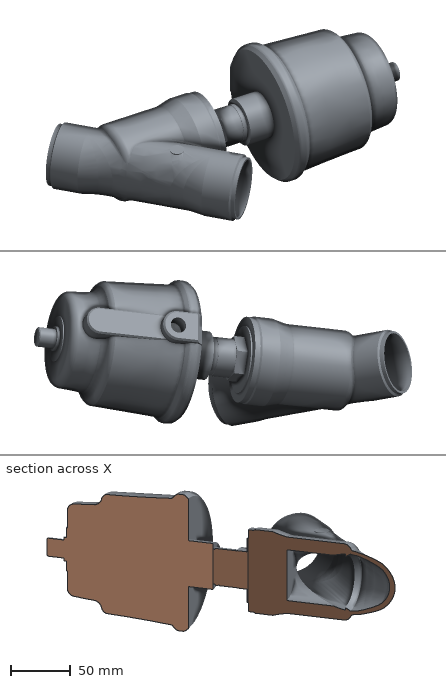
import cadquery as cq
import math


NECK_R = 20.5
NECK_BOTTOM_Y = 123.8
FLANGE_BOTTOM_Y = 146.0
FLANGE_R = 60.5
FLANGE_CHAMFER = 3.2
FLANGE_TOP_Y = 157.2
FLANGE_EDGE_EASE = 0.6
FLANGE_EDGE_RUN = 2.2
FLANGE_EDGE_ARC = (FLANGE_EDGE_RUN**2 + FLANGE_EDGE_EASE**2) / (2 * FLANGE_EDGE_EASE)
SHOULDER_ARC = 2.2
SHOULDER_TOP_Y = 160.2
SHOULDER_TOP_R = 57.3
LOWER_SHELL_Y = 162.4
LOWER_SHELL_BASE_R = 56.0
LOWER_SHELL_TOP_R = 52.7
LOWER_SHELL_TOP_Y = 220.5
UPPER_SHELL_Y = 230.2
UPPER_SHELL_BASE_R = 42.5
UPPER_SHELL_TOP_R = 41.0
UPPER_SHELL_TOP_Y = 249.0
STEP_MID_R = 48.6
STEP_MID_Y = 224.6
SHELL_STEP_ARC = 7.5
CAP_ARC = 7.0
CAP_FACE_R = 34.5
CAP_TOP_Y = 255.6
CAP_DISC_R = 19.3
CAP_DISC_HEIGHT = 0.9
WASHER_R = 10.6
WASHER_TOP_Y = 258.8
STEM_R = 8.2
STEM_TOP_Y = 273.7
STEM_CHAMFER = 0.8

DUCT_FACE_X = -54.8
DUCT_HALF_WIDTH = 11.6
DUCT_TOP_Y = 246.6
DUCT_CHAMFER = 1.4
PORT_FACE_X = -63.5
PORT_HALF_WIDTH = 13.0
PORT_Y = 169.0
PORT_CHAMFER = 1.5
PORT_HOLE_R = 6.7
PORT_HOLE_DEPTH = 14.0
PORT_BEVEL_X = 6.2
PORT_BEVEL_Y = 5.9
SIDE_ROOT_X = -30.0

SHANK_R = 16.5
SHANK_RELIEF_R = 15.6
SHANK_RELIEF_LENGTH = 1.2
SHANK_GROOVE_Y = 118.4
SHANK_GROOVE_WIDTH = 1.2
SHANK_GROOVE_DEPTH = 0.4
HEX_FLATS = 33.4
HEX_TOP_Y = 102.8
HEX_CHAMFER = 0.9
SEAL_R = 28.5
SEAL_HEIGHT = 1.2

BODY_TOP_Y = 92.4
RIM_R = 36.3
RIM_BOTTOM_Y = 87.6
COLLAR_R = 37.1
COLLAR_TOP_Y = 86.2
COLLAR_BOTTOM_Y = 70.5
BARREL_R = 33.9
BARREL_TOP_Y = 57.5
BARREL_BOTTOM_Y = -0.8
BARREL_FILLET = 7.2
CROTCH_FILLET = 2.3

PIPE_ANGLE = 45.0
PIPE_MIDDLE = 34.65
PIPE_HALF_LENGTH = 82.65
PIPE_R = 28.4
PIPE_BORE_R = 24.7
SPIGOT_R = 26.5
SPIGOT_LENGTH = 3.4
SPIGOT_SHOULDER = 1.1
WAIST_START = 54.3
WAIST_FULL = 31.0
WAIST_BLEND = 6.0
WAIST_DEPTH = 22.8
BOSS_R = 6.2
BOSS_RISE = 0.2
BOSS_TOP_Z = PIPE_R + BOSS_RISE
BOSS_FROM_MIDDLE = 24.7

SEAT_BOTTOM_Y = 0.0
SEAT_THICKNESS = 5.0
SEAT_OUTER_R = 25.2
SEAT_INNER_R = 22.2
CAVITY_TOP_Y = BARREL_TOP_Y


def actuator_shell():
    profile = (
        cq.Workplane("YZ")
        .moveTo(NECK_BOTTOM_Y, 0)
        .lineTo(NECK_BOTTOM_Y, NECK_R)
        .lineTo(FLANGE_BOTTOM_Y, NECK_R)
        .lineTo(FLANGE_BOTTOM_Y, FLANGE_R - FLANGE_CHAMFER)
        .lineTo(FLANGE_BOTTOM_Y + FLANGE_CHAMFER, FLANGE_R - FLANGE_EDGE_EASE)
        .radiusArc((FLANGE_BOTTOM_Y + FLANGE_CHAMFER + FLANGE_EDGE_RUN, FLANGE_R), FLANGE_EDGE_ARC)
        .lineTo(FLANGE_TOP_Y - FLANGE_EDGE_RUN, FLANGE_R)
        .radiusArc((FLANGE_TOP_Y, FLANGE_R - FLANGE_EDGE_EASE), FLANGE_EDGE_ARC)
        .lineTo(SHOULDER_TOP_Y, SHOULDER_TOP_R)
        .radiusArc((LOWER_SHELL_Y, LOWER_SHELL_BASE_R), -SHOULDER_ARC)
        .lineTo(LOWER_SHELL_TOP_Y, LOWER_SHELL_TOP_R)
        .radiusArc((STEP_MID_Y, STEP_MID_R), SHELL_STEP_ARC)
        .radiusArc((UPPER_SHELL_Y, UPPER_SHELL_BASE_R), -SHELL_STEP_ARC)
        .lineTo(UPPER_SHELL_TOP_Y, UPPER_SHELL_TOP_R)
        .radiusArc((CAP_TOP_Y, CAP_FACE_R), CAP_ARC)
        .lineTo(CAP_TOP_Y, CAP_DISC_R)
        .lineTo(CAP_TOP_Y + CAP_DISC_HEIGHT, CAP_DISC_R)
        .lineTo(CAP_TOP_Y + CAP_DISC_HEIGHT, WASHER_R)
        .lineTo(WASHER_TOP_Y, WASHER_R)
        .lineTo(WASHER_TOP_Y, STEM_R)
        .lineTo(STEM_TOP_Y - STEM_CHAMFER, STEM_R)
        .lineTo(STEM_TOP_Y, STEM_R - STEM_CHAMFER)
        .lineTo(STEM_TOP_Y, 0)
        .close()
    )
    return profile.revolve(360, (0, 0, 0), (1, 0, 0))


def side_block(face_x, half_width, round_y, chamfer):
    """Block from the flange face up to a round end, standing out towards -X."""
    outline = (
        cq.Workplane("YZ", origin=(face_x, 0, 0))
        .moveTo(FLANGE_BOTTOM_Y, -half_width)
        .lineTo(round_y, -half_width)
        .threePointArc((round_y + half_width, 0), (round_y, half_width))
        .lineTo(FLANGE_BOTTOM_Y, half_width)
        .close()
    )
    block = outline.extrude(SIDE_ROOT_X - face_x)
    long_edges = block.faces("<X").edges("not <Y")
    return long_edges.chamfer(chamfer)


def air_port():
    block = side_block(PORT_FACE_X, PORT_HALF_WIDTH, PORT_Y, PORT_CHAMFER)
    bevel = (
        cq.Workplane("XY", origin=(0, 0, -PORT_HALF_WIDTH))
        .moveTo(PORT_FACE_X, FLANGE_BOTTOM_Y)
        .lineTo(PORT_FACE_X + PORT_BEVEL_X, FLANGE_BOTTOM_Y)
        .lineTo(PORT_FACE_X, FLANGE_BOTTOM_Y + PORT_BEVEL_Y)
        .close()
        .extrude(2 * PORT_HALF_WIDTH)
    )
    return block.cut(bevel)


def make_actuator():
    duct = side_block(DUCT_FACE_X, DUCT_HALF_WIDTH, DUCT_TOP_Y - DUCT_HALF_WIDTH, DUCT_CHAMFER)
    hole = (
        cq.Workplane("YZ", origin=(PORT_FACE_X, 0, 0))
        .center(PORT_Y, 0)
        .circle(PORT_HOLE_R)
        .extrude(PORT_HOLE_DEPTH)
    )
    return actuator_shell().union(duct).union(air_port()).cut(hole)


def disc(radius, bottom_y, top_y):
    """Cylinder on the actuator axis."""
    return cq.Workplane("XZ", origin=(0, bottom_y, 0)).circle(radius).extrude(bottom_y - top_y)


def make_bonnet():
    hex_corners = HEX_FLATS / math.cos(math.pi / 6)
    seal_top_y = BODY_TOP_Y + SEAL_HEIGHT
    hexagon = (
        cq.Workplane("XZ", origin=(0, seal_top_y, 0))
        .polygon(6, hex_corners)
        .extrude(seal_top_y - HEX_TOP_Y)
    )
    corner_trim = disc(hex_corners / 2, seal_top_y, HEX_TOP_Y).faces(">Y").chamfer(HEX_CHAMFER)
    shank_top_y = NECK_BOTTOM_Y - SHANK_RELIEF_LENGTH
    groove_floor_r = SHANK_R - SHANK_GROOVE_DEPTH
    groove = disc(SHANK_R, SHANK_GROOVE_Y, SHANK_GROOVE_Y + SHANK_GROOVE_WIDTH).cut(
        disc(groove_floor_r, SHANK_GROOVE_Y, SHANK_GROOVE_Y + SHANK_GROOVE_WIDTH)
    )
    return (
        disc(SEAL_R, BODY_TOP_Y, seal_top_y)
        .union(hexagon.intersect(corner_trim))
        .union(disc(SHANK_R, HEX_TOP_Y, shank_top_y))
        .union(disc(SHANK_RELIEF_R, shank_top_y, NECK_BOTTOM_Y))
        .cut(groove)
    )


def barrel():
    profile = (
        cq.Workplane("XY")
        .moveTo(0, BODY_TOP_Y)
        .lineTo(-RIM_R, BODY_TOP_Y)
        .lineTo(-RIM_R, RIM_BOTTOM_Y)
        .lineTo(-COLLAR_R, COLLAR_TOP_Y)
        .lineTo(-COLLAR_R, COLLAR_BOTTOM_Y)
        .lineTo(-BARREL_R, BARREL_TOP_Y)
        .lineTo(-BARREL_R, BARREL_BOTTOM_Y + BARREL_FILLET)
        .radiusArc((-(BARREL_R - BARREL_FILLET), BARREL_BOTTOM_Y), -BARREL_FILLET)
        .lineTo(0, BARREL_BOTTOM_Y)
        .close()
    )
    return profile.revolve(360, (0, 0, 0), (0, 1, 0))


def half_ellipse(station, radius, depth):
    """Lower half of an ellipse across the pipe: half width `radius`, half height `depth`."""
    outline = (
        cq.Workplane("YZ", origin=(station, 0, 0))
        .moveTo(0, radius)
        .ellipseArc(depth, radius, 90, 270)
        .close()
    )
    return outline.wire().val()


def waisted_pipe(radius):
    """Round pipe along local X whose lower half narrows to an elliptical waist.

    The narrowing on each side is an oblique elliptical cylinder that runs from the
    round section at WAIST_START into the waist, and a shallower one bridges the bend
    where it reaches the waist.
    """
    narrowing = PIPE_R - WAIST_DEPTH
    ramp_run = WAIST_START - WAIST_FULL
    bend_rise = narrowing * WAIST_BLEND / ramp_run
    bend_run = ramp_run + WAIST_BLEND
    bend_drop = bend_rise * bend_run / (2 * WAIST_BLEND)
    ramps = [
        (radius, ramp_run, narrowing),
        (radius - narrowing + bend_drop, bend_run, bend_drop),
    ]
    round_pipe = cq.Workplane("YZ", origin=(-PIPE_HALF_LENGTH, 0, 0)).circle(radius)
    round_pipe = round_pipe.extrude(2 * PIPE_HALF_LENGTH)
    under_cut = (
        cq.Workplane("XY")
        .box(2 * WAIST_START, radius, 2 * radius)
        .translate((0, -radius / 2, 0))
    )
    pipe = round_pipe.cut(under_cut)
    run = cq.Vector(2 * WAIST_START, 0, 0)
    waist = half_ellipse(-WAIST_START, radius, radius - narrowing)
    pipe = pipe.union(cq.Workplane(cq.Solid.extrudeLinear(waist, [], run)))
    for side in (-1, 1):
        for start_depth, length, drop in ramps:
            end = half_ellipse(side * WAIST_START, radius, start_depth)
            slope = cq.Vector(-side * length, drop, 0)
            ramp = cq.Workplane(cq.Solid.extrudeLinear(end, [], slope))
            pipe = pipe.union(ramp.intersect(round_pipe))
    return pipe


def spigot_cutter():
    """Rings that turn both pipe ends down to the weld spigots, with a bevelled shoulder."""
    shoulder = PIPE_HALF_LENGTH - SPIGOT_LENGTH
    clearance = 2 * PIPE_R
    ring = (
        cq.Workplane("XY")
        .moveTo(shoulder, SPIGOT_R)
        .lineTo(PIPE_HALF_LENGTH, SPIGOT_R)
        .lineTo(PIPE_HALF_LENGTH, clearance)
        .lineTo(shoulder - SPIGOT_SHOULDER, clearance)
        .lineTo(shoulder - SPIGOT_SHOULDER, PIPE_R)
        .close()
        .revolve(360, (0, 0, 0), (1, 0, 0))
    )
    return ring.union(ring.mirror("YZ"))


def place_on_axis(shape):
    """Move a shape from pipe coordinates to the tilted pipe axis."""
    return shape.translate((PIPE_MIDDLE, 0, 0)).rotate((0, 0, 0), (0, 0, 1), PIPE_ANGLE)


def flow_passage():
    seat_top_y = SEAT_BOTTOM_Y + SEAT_THICKNESS
    bore = place_on_axis(waisted_pipe(PIPE_BORE_R))
    seat_wall = disc(2 * PIPE_HALF_LENGTH, SEAT_BOTTOM_Y, seat_top_y)
    seat_cone = (
        cq.Workplane("XZ", origin=(0, SEAT_BOTTOM_Y, 0))
        .circle(SEAT_OUTER_R)
        .workplane(offset=-SEAT_THICKNESS)
        .circle(SEAT_INNER_R)
        .loft()
    )
    cavity = disc(SEAT_INNER_R, seat_top_y, CAVITY_TOP_Y)
    return bore.cut(seat_wall).union(seat_cone).union(cavity)


def outer_body():
    """Barrel and pipe, blended in the sharp corner between barrel side and upper pipe arm."""
    pipe = place_on_axis(waisted_pipe(PIPE_R).cut(spigot_cutter()))
    corner_low = (BARREL_R / 2, BARREL_R / 2, -COLLAR_R)
    corner_high = (COLLAR_R + CROTCH_FILLET, COLLAR_TOP_Y, COLLAR_R)
    crotch = cq.selectors.BoxSelector(corner_low, corner_high, boundingbox=True)
    return barrel().union(pipe).edges(crotch).fillet(CROTCH_FILLET)


def make_valve_body():
    boss = (
        cq.Workplane("XY", origin=(BOSS_FROM_MIDDLE, 0, PIPE_BORE_R))
        .circle(BOSS_R)
        .extrude(BOSS_TOP_Z - PIPE_BORE_R)
    )
    return outer_body().union(place_on_axis(boss)).cut(flow_passage())


actuator = make_actuator()
bonnet = make_bonnet()
valve_body = make_valve_body()
result = cq.Compound.makeCompound([
    *actuator.solids().vals(),
    *bonnet.solids().vals(),
    *valve_body.solids().vals(),
])